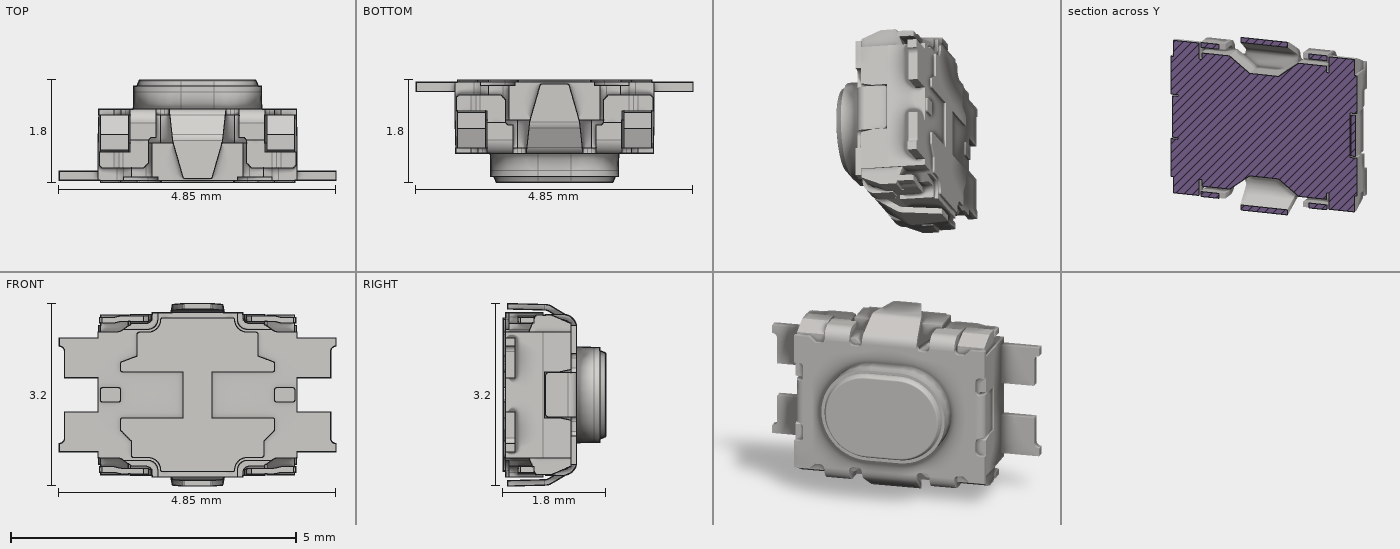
import cadquery as cq
import math


PAD_FACE = -0.04
FLANGE_TOP = 0.06
TERMINAL_TOP = 0.163
BASE_STEP = 0.66
COVER_BOTTOM = 1.15
SHEET = 0.098
COVER_TOP = COVER_BOTTOM + SHEET
BUTTON_TOP = 1.76

BASE_HALF_X = 1.745
BASE_HALF_Z = 1.103
CENTRE_HALF_Z = 1.44
FLANGE_HALF_X = 0.697
FLANGE_STEP_Z = 1.147
FLANGE_RADIUS = 0.175
CENTRE_HALF_X = 0.795
POCKET_Z = 1.25
POCKET_CORNER = 0.112
POCKET_END_X = 1.155
POCKET_SLOPE_X = 1.30
POCKET_RUNOUT_MID = (1.35, 1.115)
POCKET_RUNOUT_X = 1.415
UPPER_TOP_HALF_X = 1.73
UPPER_CENTRE_HALF_X = 1.17
UPPER_CENTRE_HALF_Z = 1.22
RECESS_HALF_X = 0.646
RECESS_FLOOR_HALF_X = 0.27
RECESS_DEPTH = 0.28
GROOVE_DEPTH = 0.13
GROOVE_END_Y = 0.68
GROOVE_TAPER_Y = 0.95
GROOVE_GAP = 0.012
GROOVE_MOUTH_GAP = 0.055

BLOCK_X = (1.213, 1.70)
BLOCK_ROOT_Z = 1.0
BLOCK_UNDERCUT_Y = 0.41
BLOCK_LIP_Y = 0.53
BLOCK_LIP_Z = 1.40
BLOCK_SLOPE_Y = 0.807
BLOCK_SLOPE_Z = 1.395
BLOCK_TOP_Z = 1.255

PAD_WEB_HALF_X = 0.256
PAD_INNER_Z = 0.402
PAD_HALF_X = 1.351
PAD_STEP_Z = 1.097
PAD_TOP_Z = 1.347
PAD_TOP_HALF_X = 0.63
PAD_UPPER_X = 1.06
PAD_LOWER_X = 1.162
PAD_UPPER_SHOULDER_Z = (0.57, 0.68)
PAD_LOWER_SHOULDER_Z = (0.62, 0.81)
PAD_ROUND = 0.04
STUD_X = (1.348, 1.704)
STUD_HALF_Z = 0.126
STUD_ROUND = 0.04

TERMINAL_HALF_X = 2.425
TERMINAL_NECK_X = 2.333
TERMINAL_ROOT_X = 1.6
TERMINAL_Z = (0.297, 0.997)
TERMINAL_ROUND = TERMINAL_HALF_X - TERMINAL_NECK_X
TERMINAL_LIP_Z = 0.852

COVER_HALF_X = 1.733
COVER_HALF_Z = 1.217
RELIEF_DEPTH = 0.1
RELIEF_ROUND = 0.08
EAR_RELIEF_SLANT_X = (1.345, 1.46)
EAR_X = (0.728, 1.18)
EAR_FACE_Z = 1.41
EAR_BEND = 0.238
EAR_STEP_Y = 0.705
EAR_END_Y = 0.75
EAR_NOTCH_X = 0.82
CLIP_FACE_Z = 1.385
CLIP_INNER_X = 0.86
CLIP_OUTER_X = 1.722
CLIP_Y = (0.22, 0.50)
CLIP_CHAMFER = 0.085
CLIP_TIP_CHAMFER = 0.045
CLIP_JOG_X = (1.343, 1.46)
CLIP_JOG = 0.028
CLIP_JOG_RADIUS = 0.33
TAB_HALF_Z = 0.39
TAB_FACE_X = 1.715
TAB_END_Y = 0.70
TAB_BEND = 0.15
TAB_ROUND = 0.06
SIDE_RELIEF_Z = 0.723
SIDE_RELIEF_DEPTH = 0.17
TONGUE_ROOT_HALF_X = 0.497
TONGUE_MID_HALF_X = 0.435
TONGUE_TIP_HALF_X = 0.249
TONGUE_TIP_ROUND = 0.03
TONGUE_NARROW_Y = 0.68
TONGUE_ROOT_CORNER_Z = 1.289
TONGUE_ROOT_BEND = 0.21
TONGUE_BEND = 0.22
TONGUE_BEND_Y = 0.755
TONGUE_BEND_Z = 1.582
TONGUE_TIP_Y = 0.033
TONGUE_TIP_Z = 1.60

BUTTON_FLAT = 0.288
BUTTON_RIM_Y = 1.549
BUTTON_STEP_Y = 1.653
BUTTON_FOOT_RADIUS = 0.844
BUTTON_RADIUS = 0.832
BUTTON_SHOULDER_RADIUS = 0.775
BUTTON_TOP_RADIUS = 0.73
BUTTON_EDGE_ROUND = 0.03


def xz_plane(y_top):
    """Sketch plane with local axes X and Z, extruding toward -Y from y_top."""
    return cq.Workplane("XZ", origin=(0, y_top, 0))


def plate(points, y_bottom, y_top):
    return xz_plane(y_top).polyline(points).close().extrude(y_top - y_bottom)


def block(x_range, y_range, z_range):
    sizes = [r[1] - r[0] for r in (x_range, y_range, z_range)]
    corner = cq.Vector(x_range[0], y_range[0], z_range[0])
    return cq.Workplane("XY").box(*sizes, centered=False).translate(corner)


def yz_prism(points, x_range):
    sketch = cq.Workplane("YZ", origin=(x_range[0], 0, 0)).polyline(points).close()
    return sketch.extrude(x_range[1] - x_range[0])


def both_x(shape):
    return shape.union(shape.mirror("YZ"))


def both_z(shape):
    return shape.union(shape.mirror("XY"))


def four(shape):
    return both_z(both_x(shape))


def close_base_corner(outline):
    """Finish a base quarter outline: rounded run-out of the clip pocket, then the plain corner."""
    return (
        outline.threePointArc(POCKET_RUNOUT_MID, (POCKET_RUNOUT_X, BASE_HALF_Z))
        .lineTo(BASE_HALF_X, BASE_HALF_Z)
        .lineTo(BASE_HALF_X, 0)
        .close()
    )


def fillet_near(shape, point, radius):
    return shape.edges(cq.selectors.NearestToPointSelector(point)).fillet(radius)


def flange_layer():
    """Thin bottom layer of the base with rounded inside corners."""
    quarter = (
        xz_plane(FLANGE_TOP)
        .moveTo(0, 0)
        .lineTo(0, CENTRE_HALF_Z)
        .lineTo(FLANGE_HALF_X, CENTRE_HALF_Z)
        .lineTo(FLANGE_HALF_X, FLANGE_STEP_Z + FLANGE_RADIUS)
        .radiusArc((FLANGE_HALF_X + FLANGE_RADIUS, FLANGE_STEP_Z), -FLANGE_RADIUS)
        .lineTo(POCKET_SLOPE_X, FLANGE_STEP_Z)
    )
    return four(close_base_corner(quarter).extrude(FLANGE_TOP))


def lower_base():
    """Main base layer: wide centre wall, clip pockets and lower corners."""
    quarter = (
        xz_plane(BASE_STEP)
        .moveTo(0, 0)
        .lineTo(0, CENTRE_HALF_Z)
        .lineTo(CENTRE_HALF_X, CENTRE_HALF_Z)
        .lineTo(CENTRE_HALF_X, POCKET_Z + POCKET_CORNER)
        .radiusArc((CENTRE_HALF_X + POCKET_CORNER, POCKET_Z), -POCKET_CORNER)
        .lineTo(POCKET_END_X, POCKET_Z)
        .lineTo(POCKET_SLOPE_X, FLANGE_STEP_Z)
    )
    return four(close_base_corner(quarter).extrude(BASE_STEP - FLANGE_TOP))


def upper_base():
    """Base between the lower step and the cover, with recesses behind the tongues and side tabs."""
    y_range = (BASE_STEP, COVER_BOTTOM)
    section = [
        (-BASE_HALF_X, BASE_STEP),
        (BASE_HALF_X, BASE_STEP),
        (UPPER_TOP_HALF_X, COVER_BOTTOM),
        (-UPPER_TOP_HALF_X, COVER_BOTTOM),
    ]
    body = (
        cq.Workplane("XY", origin=(0, 0, -BASE_HALF_Z)).polyline(section).close().extrude(2 * BASE_HALF_Z)
    )
    centre = block(
        (-UPPER_CENTRE_HALF_X, UPPER_CENTRE_HALF_X), y_range, (-UPPER_CENTRE_HALF_Z, UPPER_CENTRE_HALF_Z)
    )
    recess_floor_z = UPPER_CENTRE_HALF_Z - RECESS_DEPTH
    recess = plate(
        [
            (-RECESS_HALF_X, UPPER_CENTRE_HALF_Z),
            (-RECESS_FLOOR_HALF_X, recess_floor_z),
            (RECESS_FLOOR_HALF_X, recess_floor_z),
            (RECESS_HALF_X, UPPER_CENTRE_HALF_Z),
        ],
        *y_range,
    )
    groove_half_z = TAB_HALF_Z + GROOVE_GAP
    groove_mouth_half_z = TAB_HALF_Z + GROOVE_MOUTH_GAP
    groove = yz_prism(
        [
            (GROOVE_END_Y, -groove_half_z),
            (GROOVE_TAPER_Y, -groove_half_z),
            (COVER_BOTTOM, -groove_mouth_half_z),
            (COVER_BOTTOM, groove_mouth_half_z),
            (GROOVE_TAPER_Y, groove_half_z),
            (GROOVE_END_Y, groove_half_z),
        ],
        (BASE_HALF_X - GROOVE_DEPTH, BASE_HALF_X),
    )
    return body.union(centre).cut(both_z(recess)).cut(both_x(groove))


def corner_blocks():
    """Four undercut blocks that the cover clips hook under."""
    profile = [
        (BLOCK_UNDERCUT_Y, BASE_HALF_Z),
        (BLOCK_LIP_Y, BLOCK_LIP_Z),
        (BLOCK_SLOPE_Y, BLOCK_SLOPE_Z),
        (COVER_BOTTOM, BLOCK_TOP_Z),
        (COVER_BOTTOM, BLOCK_ROOT_Z),
        (BLOCK_UNDERCUT_Y, BLOCK_ROOT_Z),
    ]
    return four(yz_prism(profile, BLOCK_X))


def pad_half(outer_x, shoulder_z):
    """Right half of one raised pad on the +Z side, from the centre line outward."""
    shoulder_low, shoulder_high = shoulder_z
    arc_x = FLANGE_HALF_X + FLANGE_RADIUS
    arc_z = FLANGE_STEP_Z + FLANGE_RADIUS
    arc_radius = arc_z - PAD_STEP_Z
    pad = (
        xz_plane(0)
        .moveTo(0, 0)
        .lineTo(PAD_WEB_HALF_X, 0)
        .lineTo(PAD_WEB_HALF_X, PAD_INNER_Z)
        .lineTo(PAD_HALF_X, PAD_INNER_Z)
        .lineTo(PAD_HALF_X, shoulder_low)
        .lineTo(outer_x, shoulder_high)
        .lineTo(outer_x, PAD_STEP_Z)
        .lineTo(arc_x, PAD_STEP_Z)
        .radiusArc((arc_x - arc_radius, arc_z), arc_radius)
        .lineTo(PAD_TOP_HALF_X, PAD_TOP_Z)
        .lineTo(0, PAD_TOP_Z)
        .close()
        .extrude(-PAD_FACE)
    )
    rounded = [(PAD_HALF_X, PAD_INNER_Z), (PAD_HALF_X, shoulder_low), (outer_x, PAD_STEP_Z)]
    for x, z in rounded:
        pad = fillet_near(pad, (x, PAD_FACE / 2, z), PAD_ROUND)
    return pad


def pads():
    upper = pad_half(PAD_UPPER_X, PAD_UPPER_SHOULDER_Z)
    lower = pad_half(PAD_LOWER_X, PAD_LOWER_SHOULDER_Z).mirror("XY")
    stud = block(STUD_X, (PAD_FACE, 0), (-STUD_HALF_Z, STUD_HALF_Z)).edges("|Y").fillet(STUD_ROUND)
    return both_x(upper.union(lower).union(stud))


def terminals():
    z_low, z_high = TERMINAL_Z
    terminal = (
        xz_plane(TERMINAL_TOP)
        .moveTo(TERMINAL_ROOT_X, z_low)
        .lineTo(TERMINAL_NECK_X, z_low)
        .lineTo(TERMINAL_NECK_X, TERMINAL_LIP_Z - TERMINAL_ROUND)
        .radiusArc((TERMINAL_HALF_X, TERMINAL_LIP_Z), TERMINAL_ROUND)
        .lineTo(TERMINAL_HALF_X, z_high)
        .lineTo(TERMINAL_ROOT_X, z_high)
        .close()
        .extrude(TERMINAL_TOP)
    )
    return four(terminal)


def cover_plate():
    """Flat sheet of the cover, relieved beside the ears, tongues and side tabs."""
    y_range = (COVER_BOTTOM, COVER_TOP)
    sheet = block((-COVER_HALF_X, COVER_HALF_X), y_range, (-COVER_HALF_Z, COVER_HALF_Z))
    floor_z = COVER_HALF_Z - RELIEF_DEPTH
    slant_floor_x, slant_mouth_x = EAR_RELIEF_SLANT_X
    ear_side_x = EAR_X[1]
    ear_relief = plate(
        [
            (ear_side_x, COVER_HALF_Z),
            (ear_side_x, floor_z),
            (slant_floor_x, floor_z),
            (slant_mouth_x, COVER_HALF_Z),
        ],
        *y_range,
    )
    tongue_relief_block = block((TONGUE_ROOT_HALF_X, EAR_X[0]), y_range, (floor_z, COVER_HALF_Z))
    side_relief = block(
        (COVER_HALF_X - SIDE_RELIEF_DEPTH, COVER_HALF_X), y_range, (TAB_HALF_Z, SIDE_RELIEF_Z)
    )
    ear_relief = ear_relief.edges("|Y and <X").edges("<Z").fillet(RELIEF_ROUND)
    tongue_relief = tongue_relief_block.edges("|Y and <Z").fillet(RELIEF_ROUND)
    side_relief = side_relief.edges("|Y and <X").fillet(RELIEF_ROUND)
    reliefs = ear_relief.union(tongue_relief).union(side_relief)
    bend_zones = block((0, EAR_X[1]), y_range, (floor_z, COVER_HALF_Z)).cut(tongue_relief_block)
    bend_zones = bend_zones.union(
        block((COVER_HALF_X - SIDE_RELIEF_DEPTH, COVER_HALF_X), y_range, (0, TAB_HALF_Z))
    )
    return sheet.cut(four(reliefs.union(bend_zones)))


def cover_ears():
    """Four bent ears, each ending in a clip plate that hooks under a corner block."""
    root_z = COVER_HALF_Z - RELIEF_DEPTH
    inner_bend = EAR_BEND - SHEET
    inner_z = EAR_FACE_Z - SHEET
    ear = (
        cq.Workplane("YZ", origin=(EAR_X[0], 0, 0))
        .moveTo(COVER_BOTTOM, root_z)
        .lineTo(COVER_TOP, root_z)
        .lineTo(COVER_TOP, EAR_FACE_Z - EAR_BEND)
        .radiusArc((COVER_TOP - EAR_BEND, EAR_FACE_Z), -EAR_BEND)
        .lineTo(EAR_STEP_Y, EAR_FACE_Z)
        .lineTo(EAR_STEP_Y, inner_z)
        .lineTo(COVER_TOP - EAR_BEND, inner_z)
        .radiusArc((COVER_BOTTOM, inner_z - inner_bend), inner_bend)
        .close()
        .extrude(EAR_X[1] - EAR_X[0])
    )
    notch = [
        (EAR_X[0], 0),
        (EAR_X[0], EAR_END_Y),
        (EAR_NOTCH_X, EAR_END_Y),
        (CLIP_INNER_X, EAR_STEP_Y),
        (CLIP_INNER_X, 0),
    ]
    ear = ear.cut(cq.Workplane("XY").polyline(notch).close().extrude(EAR_FACE_Z))
    jog_start, jog_end = CLIP_JOG_X
    clip_inner_z = CLIP_FACE_Z - SHEET
    clip_section = plate(
        [
            (CLIP_INNER_X, CLIP_FACE_Z),
            (jog_start, CLIP_FACE_Z),
            (jog_end, CLIP_FACE_Z - CLIP_JOG),
            (CLIP_OUTER_X, CLIP_FACE_Z - CLIP_JOG),
            (CLIP_OUTER_X, clip_inner_z - CLIP_JOG),
            (jog_end, clip_inner_z - CLIP_JOG),
            (jog_start, clip_inner_z),
            (CLIP_INNER_X, clip_inner_z),
        ],
        CLIP_Y[0],
        EAR_STEP_Y,
    )
    mid_y = (CLIP_Y[0] + EAR_STEP_Y) / 2
    clip_section = fillet_near(clip_section, (jog_start, mid_y, CLIP_FACE_Z), CLIP_JOG_RADIUS)
    clip_section = fillet_near(clip_section, (jog_start, mid_y, clip_inner_z), CLIP_JOG_RADIUS - SHEET)
    clip_outline = (
        cq.Workplane("XY")
        .polyline(
            [
                (CLIP_INNER_X, EAR_STEP_Y),
                (EAR_X[1], EAR_STEP_Y),
                (EAR_X[1], CLIP_Y[1]),
                (CLIP_OUTER_X, CLIP_Y[1]),
                (CLIP_OUTER_X, CLIP_Y[0] + CLIP_TIP_CHAMFER),
                (CLIP_OUTER_X - CLIP_TIP_CHAMFER, CLIP_Y[0]),
                (CLIP_INNER_X + CLIP_CHAMFER, CLIP_Y[0]),
                (CLIP_INNER_X, CLIP_Y[0] + CLIP_CHAMFER),
            ]
        )
        .close()
        .extrude(CENTRE_HALF_Z)
    )
    return four(ear.union(clip_section.intersect(clip_outline)))


def cover_tongues():
    """Two tapered tongues that slope outward from the cover and run down past the centre walls."""
    root_z = COVER_HALF_Z - RELIEF_DEPTH
    rise = TONGUE_BEND_Z - TONGUE_ROOT_CORNER_Z
    fall = COVER_TOP - TONGUE_BEND_Y
    slope_angle = math.atan2(rise, fall)
    root_shift = SHEET * math.tan((math.pi / 2 - slope_angle) / 2)
    bend_shift = SHEET * math.tan(slope_angle / 2)
    root_outer = (COVER_TOP, TONGUE_ROOT_CORNER_Z)
    root_inner = (COVER_BOTTOM, TONGUE_ROOT_CORNER_Z - root_shift)
    bend_outer = (TONGUE_BEND_Y, TONGUE_BEND_Z)
    bend_inner = (TONGUE_BEND_Y - bend_shift, TONGUE_BEND_Z - SHEET)
    profile = [
        (COVER_TOP, root_z),
        root_outer,
        bend_outer,
        (TONGUE_TIP_Y, TONGUE_TIP_Z),
        (TONGUE_TIP_Y, TONGUE_TIP_Z - SHEET),
        bend_inner,
        root_inner,
        (COVER_BOTTOM, root_z),
    ]
    strip = yz_prism(profile, (-TONGUE_ROOT_HALF_X, TONGUE_ROOT_HALF_X))
    bends = [
        (root_outer, TONGUE_ROOT_BEND),
        (root_inner, TONGUE_ROOT_BEND - SHEET),
        (bend_outer, TONGUE_BEND),
        (bend_inner, TONGUE_BEND - SHEET),
    ]
    for (y, z), radius in bends:
        strip = fillet_near(strip, (0, y, z), radius)
    side = [
        (TONGUE_ROOT_HALF_X, COVER_TOP),
        (TONGUE_MID_HALF_X, TONGUE_NARROW_Y),
        (TONGUE_TIP_HALF_X, TONGUE_TIP_Y),
    ]
    outline = side + [(-x, y) for x, y in reversed(side)]
    taper = cq.Workplane("XY").polyline(outline).close().extrude(TONGUE_TIP_Z)
    taper = taper.edges("|Z and <Y").fillet(TONGUE_TIP_ROUND)
    return both_z(strip.intersect(taper))


def cover_side_tabs():
    """Two short tabs bent down over the ends of the base."""
    root_x = TAB_FACE_X - TAB_BEND - SHEET
    inner_x = TAB_FACE_X - SHEET
    tab = (
        cq.Workplane("XY", origin=(0, 0, -TAB_HALF_Z))
        .moveTo(root_x, COVER_BOTTOM)
        .lineTo(root_x, COVER_TOP)
        .lineTo(TAB_FACE_X - TAB_BEND, COVER_TOP)
        .radiusArc((TAB_FACE_X, COVER_TOP - TAB_BEND), TAB_BEND)
        .lineTo(TAB_FACE_X, TAB_END_Y)
        .lineTo(inner_x, TAB_END_Y)
        .lineTo(inner_x, COVER_BOTTOM)
        .close()
        .extrude(2 * TAB_HALF_Z)
    )
    return both_x(tab.edges("|X and <Y").fillet(TAB_ROUND))


def button_layer(y_bottom, y_top, bottom_radius, top_radius):
    """Oblong layer of the button, drawn in from the bottom radius to the top radius."""

    def oblong(plane, radius):
        return plane.slot2D(2 * (BUTTON_FLAT + radius), 2 * radius)

    lower = oblong(xz_plane(y_bottom), bottom_radius)
    return oblong(lower.workplane(offset=y_bottom - y_top), top_radius).loft(ruled=True)


def button():
    levels = [
        (COVER_BOTTOM, BUTTON_RIM_Y, BUTTON_FOOT_RADIUS, BUTTON_RADIUS),
        (BUTTON_RIM_Y, BUTTON_STEP_Y, BUTTON_RADIUS, BUTTON_RADIUS),
        (BUTTON_STEP_Y, BUTTON_TOP, BUTTON_SHOULDER_RADIUS, BUTTON_TOP_RADIUS),
    ]
    body = button_layer(*levels[0])
    for level in levels[1:]:
        body = body.union(button_layer(*level))
    return body.faces(">Y").edges().fillet(BUTTON_EDGE_ROUND)


result = flange_layer()
for feature in (
    lower_base(),
    upper_base(),
    corner_blocks(),
    pads(),
    terminals(),
    cover_plate(),
    cover_ears(),
    cover_tongues(),
    cover_side_tabs(),
    button(),
):
    result = result.union(feature)